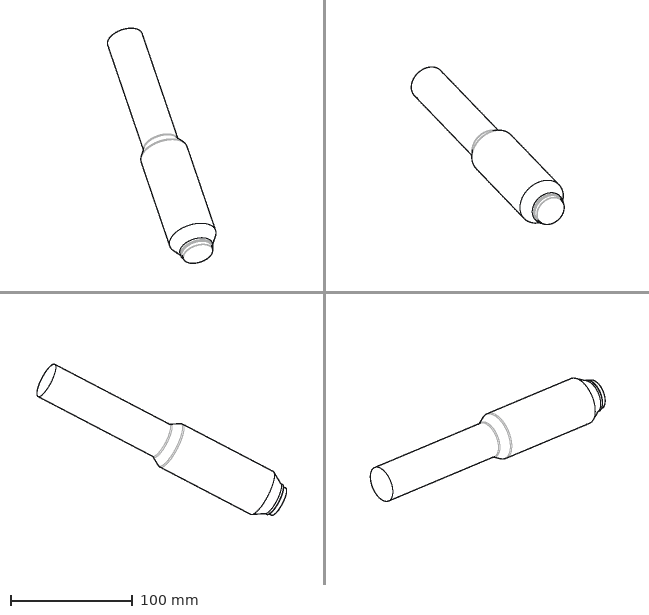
import cadquery as cq
import math

total_length = 224.3
body_radius = 20.0
shank_radius = 15.0
collar_radius = 14.0
nose_radius = 12.7

taper_angle = math.radians(30.0)
body_rear_shoulder = 119.9
body_front_shoulder = 207.9
taper_blend_radius = 2.5

nose_length = 3.8
rim_round = 0.3
root_round = 0.5


def taper_length(large_radius, small_radius):
    """Axial length of a taper between two radii."""
    return (large_radius - small_radius) / math.tan(taper_angle)


shank_length = body_rear_shoulder - taper_length(body_radius, shank_radius)
collar_start = body_front_shoulder + taper_length(body_radius, collar_radius)
collar_end = total_length - nose_length

blend_setback = taper_blend_radius * math.tan(taper_angle / 2)
blend_run = blend_setback * math.cos(taper_angle)
blend_rise = blend_setback * math.sin(taper_angle)


def half_profile():
    """Closed outline of the upper half of the part, from the shank end to the nose end."""
    outline = cq.Workplane("XZ").lineTo(0, shank_radius)

    outline = (
        outline
        .lineTo(shank_length - blend_setback, shank_radius)
        .tangentArcPoint((shank_length + blend_run, shank_radius + blend_rise), relative=False)
        .lineTo(body_rear_shoulder - blend_run, body_radius - blend_rise)
        .tangentArcPoint((body_rear_shoulder + blend_setback, body_radius), relative=False)
    )

    outline = (
        outline
        .lineTo(body_front_shoulder, body_radius)
        .lineTo(collar_start, collar_radius)
        .lineTo(collar_end - rim_round, collar_radius)
        .tangentArcPoint((collar_end, collar_radius - rim_round), relative=False)
    )

    outline = (
        outline
        .lineTo(collar_end, nose_radius + root_round)
        .tangentArcPoint((collar_end + root_round, nose_radius), relative=False)
        .lineTo(total_length - rim_round, nose_radius)
        .tangentArcPoint((total_length, nose_radius - rim_round), relative=False)
    )
    return outline.lineTo(total_length, 0).close()


axis_start = (0, 0, 0)
axis_end = (1, 0, 0)
result = half_profile().revolve(360, axis_start, axis_end)